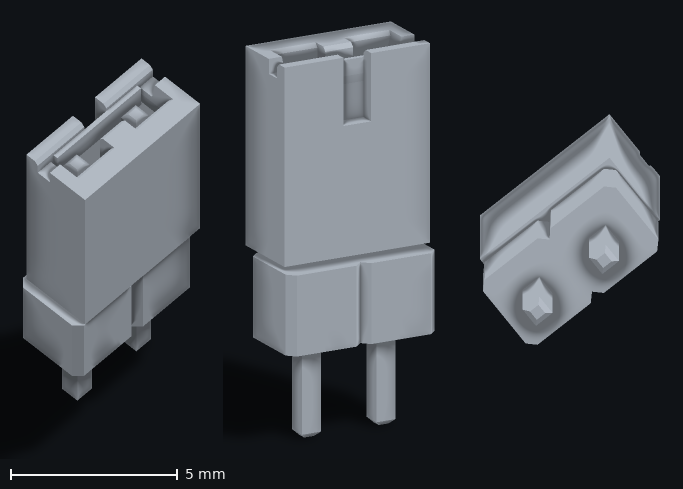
import cadquery as cq


PITCH = 2.55
PIN_COUNT = 2
CELL_CHAMFER = 0.25
PIN_SIDE = 0.64
PIN_TIP_CHAMFER = 0.16
PIN_TAIL = 2.99
PIN_TOP = 11.52

HEADER_LENGTH = PIN_COUNT * PITCH
PIN_YS = [(i - (PIN_COUNT - 1) / 2) * PITCH for i in range(PIN_COUNT)]

TOP = 12.06
JUMPER_HEIGHT = 6.27
JUMPER_WIDTH = 2.44
JUMPER_LENGTH = 4.97
OVERHANG_X = 0.12
OVERHANG_Y = 0.05

X_MAX = PITCH / 2 + OVERHANG_X
X_MIN = X_MAX - JUMPER_WIDTH
Y_MID = HEADER_LENGTH / 2 + OVERHANG_Y - JUMPER_LENGTH / 2

WALL = 0.47
WALL_BEVEL = 0.12
GROOVE_WIDTH = 0.51
GROOVE_DEPTH = 0.47
WALL_BACK = X_MIN + WALL

POCKET_DEPTH = 1.05
POCKET_WIDTH = 1.13
POCKET_LENGTH = 3.75
END_FLARE = 0.17
END_FLARE_DEPTH = 0.65
RIM_BEVEL = 0.13
RIB_LENGTH = 0.95
RIB_DEPTH = 0.48
POCKET_FLOOR = TOP - POCKET_DEPTH

WINDOW_DEPTH = 2.15
BLADE_LENGTH = 3.6
BLADE_THICKNESS = 0.16
BLADE_DROP = 0.25
BLADE_BEND_TOP = 0.76
BLADE_BEND_END = 1.01
BLADE_BEND = 0.02


def block(x_min, x_max, length, z_min, z_max):
    """Box centred on the middle of the jumper in Y."""
    return (
        cq.Workplane("XY")
        .box(x_max - x_min, length, z_max - z_min, centered=(False, True, False))
        .translate((x_min, Y_MID, z_min))
    )


def along_y(points, length):
    """Prism from an XZ outline, centred on the middle of the jumper in Y."""
    return (
        cq.Workplane("XZ", origin=(0, Y_MID, 0))
        .polyline(points)
        .close()
        .extrude(length / 2, both=True)
    )


def square_bar(y, z_min, z_max):
    return (
        cq.Workplane("XY", origin=(0, y, z_min))
        .rect(PIN_SIDE, PIN_SIDE)
        .extrude(z_max - z_min)
    )


def pin(y):
    bar = square_bar(y, 0, PIN_TOP)
    return bar.faces("<Z or >Z").chamfer(PIN_TIP_CHAMFER)


def cell(y):
    return (
        cq.Workplane("XY", origin=(0, y, PIN_TAIL))
        .rect(PITCH, PITCH)
        .extrude(PITCH)
        .edges("|Z")
        .chamfer(CELL_CHAMFER)
    )


def make_pin_header():
    header = cq.Workplane("XY")
    for y in PIN_YS:
        header = header.union(cell(y)).union(pin(y))
    return header


def groove():
    """Groove along Y, with the bevelled top edge of the front wall."""
    return along_y(
        [
            (WALL_BACK - WALL_BEVEL, TOP),
            (WALL_BACK, TOP - WALL_BEVEL),
            (WALL_BACK, TOP - GROOVE_DEPTH),
            (WALL_BACK + GROOVE_WIDTH, TOP - GROOVE_DEPTH),
            (WALL_BACK + GROOVE_WIDTH, TOP),
        ],
        JUMPER_LENGTH,
    )


def pocket_section(width, length):
    """Pocket cross-section with a bevelled rim along its back wall."""
    back = WALL_BACK + width
    return along_y(
        [
            (WALL_BACK, POCKET_FLOOR),
            (back, POCKET_FLOOR),
            (back, TOP - RIM_BEVEL),
            (back + RIM_BEVEL, TOP),
            (WALL_BACK, TOP),
        ],
        length,
    )


def pocket():
    half = POCKET_LENGTH / 2
    flare_start = TOP - END_FLARE_DEPTH
    ends = (
        cq.Workplane("YZ", origin=(X_MIN, Y_MID, 0))
        .polyline(
            [
                (-half, POCKET_FLOOR),
                (half, POCKET_FLOOR),
                (half, flare_start),
                (half + END_FLARE, TOP),
                (-half - END_FLARE, TOP),
                (-half, flare_start),
            ]
        )
        .close()
        .extrude(JUMPER_WIDTH)
    )
    rib_zone = block(X_MIN, X_MAX, RIB_LENGTH, POCKET_FLOOR, TOP)
    return (
        pocket_section(POCKET_WIDTH, JUMPER_LENGTH)
        .cut(rib_zone)
        .union(pocket_section(POCKET_WIDTH - RIB_DEPTH, RIB_LENGTH))
        .intersect(ends)
    )


def window():
    """Slot through the front wall, following the bent outer face of the blade."""
    return along_y(
        [
            (X_MIN, TOP),
            (WALL_BACK, TOP),
            (WALL_BACK, TOP - BLADE_BEND_TOP),
            (WALL_BACK + BLADE_BEND, TOP - BLADE_BEND_END),
            (WALL_BACK + BLADE_BEND, TOP - WINDOW_DEPTH),
            (X_MIN, TOP - WINDOW_DEPTH),
        ],
        RIB_LENGTH,
    )


def blade():
    """Contact blade standing on the pocket floor against the front wall, bent near its foot."""
    inner = WALL_BACK + BLADE_THICKNESS
    return along_y(
        [
            (WALL_BACK, POCKET_FLOOR),
            (inner + BLADE_BEND, POCKET_FLOOR),
            (inner + BLADE_BEND, TOP - BLADE_BEND_END),
            (inner, TOP - BLADE_BEND_TOP),
            (inner, TOP - BLADE_DROP),
            (WALL_BACK, TOP - BLADE_DROP),
        ],
        BLADE_LENGTH,
    )


def make_jumper():
    jumper = block(X_MIN, X_MAX, JUMPER_LENGTH, TOP - JUMPER_HEIGHT, TOP)
    jumper = jumper.cut(groove()).cut(pocket()).union(blade()).cut(window())
    for y in PIN_YS:
        jumper = jumper.cut(square_bar(y, TOP - JUMPER_HEIGHT, TOP))
    return jumper


pin_header = make_pin_header()
jumper = make_jumper()

result = cq.Compound.makeCompound([pin_header.solids().val(), jumper.solids().val()])